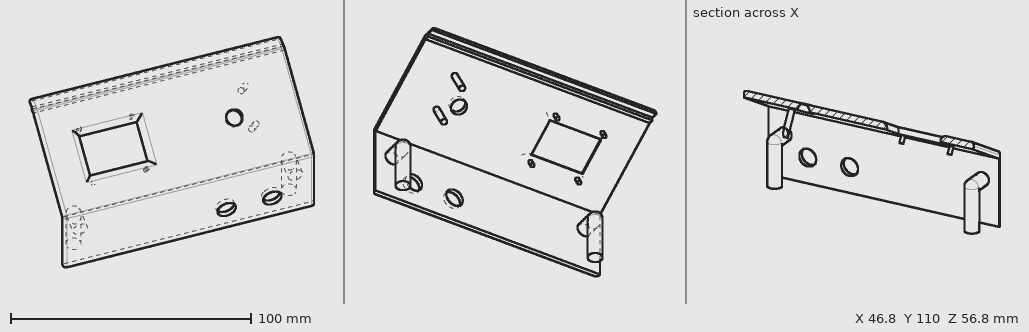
import math

import cadquery as cq

DEPTH = 46.77
LENGTH = 110.0
HEIGHT = 56.8

SLOPE_DEG = 30.0
LIP_WIDTH = 6.0
PANEL_THICKNESS = 3.0
WALL_THICKNESS = 2.3
EDGE_RADIUS = 1.5
STEP_WIDTH = 3.0
STEP_DEPTH = PANEL_THICKNESS / 2

SLOPE = math.radians(SLOPE_DEG)
SLOPE_RUN = DEPTH - LIP_WIDTH
SLOPE_DROP = SLOPE_RUN * math.tan(SLOPE)
WALL_TOP = HEIGHT - SLOPE_DROP
WALL_INNER_X = DEPTH - WALL_THICKNESS

FEATURE_OFFSET_Y = 26.3

SENSOR_HOLE_DIAMETER = 6.9

WINDOW_WIDTH = 17.0
WINDOW_LENGTH = 25.1
WINDOW_FLARE_RADIUS = 2.9

SMALL_PIN_DIAMETER = 1.7
SMALL_PIN_HEIGHT = 3.4
SMALL_PIN_SPACING = 23.0

LONG_PIN_DIAMETER = 2.6
LONG_PIN_HEIGHT = 12.0
LONG_PIN_X = (-12.2, 4.4)
LONG_PIN_Y = 35.0

WALL_HOLE_DIAMETER = 8.0
WALL_HOLE_SPACING = 20.0
WALL_HOLE_Z = 11.75

HOOK_DIAMETER = 6.3
HOOK_Y = 47.1
HOOK_X = 35.6
HOOK_Z = 20.15

OVERLAP = 0.5


def make_panel():
    """Bent panel with rounded outer edges and a stepped lip."""
    lip_inner_x = LIP_WIDTH - PANEL_THICKNESS * math.tan(SLOPE / 2)
    wall_inner_top = (
        WALL_TOP + WALL_THICKNESS * math.tan(SLOPE) - PANEL_THICKNESS / math.cos(SLOPE)
    )
    outline = [
        (0, HEIGHT),
        (LIP_WIDTH, HEIGHT),
        (DEPTH, WALL_TOP),
        (DEPTH, 0),
        (WALL_INNER_X, 0),
        (WALL_INNER_X, wall_inner_top),
        (lip_inner_x, HEIGHT - PANEL_THICKNESS),
        (0, HEIGHT - PANEL_THICKNESS),
    ]
    panel = cq.Workplane("XZ").polyline(outline).close().extrude(LENGTH / 2, both=True)

    for bend in ((LIP_WIDTH, 0, HEIGHT), (DEPTH, 0, WALL_TOP)):
        panel = panel.edges(cq.selectors.NearestToPointSelector(bend)).fillet(EDGE_RADIUS)

    for end in ("<Y", ">Y"):
        panel = panel.faces(">Z").edges(end).fillet(EDGE_RADIUS)

    step = cq.Workplane("XY").box(STEP_WIDTH, LENGTH, STEP_DEPTH, centered=(False, True, False))
    return panel.cut(step.translate((0, 0, HEIGHT - PANEL_THICKNESS)))


def slope_plane(depth=0.0):
    """Plane parallel to the sloping face, the given depth below its centre."""
    return cq.Workplane(
        cq.Plane(
            origin=(LIP_WIDTH + SLOPE_RUN / 2, 0, HEIGHT - SLOPE_DROP / 2),
            xDir=(math.cos(SLOPE), 0, -math.sin(SLOPE)),
            normal=(math.sin(SLOPE), 0, math.cos(SLOPE)),
        )
    ).workplane(offset=-depth)


def cut_sensor_hole(body):
    """Round hole square through the sloping face."""
    hole = (
        slope_plane(PANEL_THICKNESS + OVERLAP)
        .center(0, FEATURE_OFFSET_Y)
        .circle(SENSOR_HOLE_DIAMETER / 2)
        .extrude(PANEL_THICKNESS + 2 * OVERLAP)
    )
    return body.cut(hole)


def cut_window(body):
    """Rectangular window whose rim rounds over to the outer face."""
    window = (
        slope_plane(PANEL_THICKNESS + OVERLAP)
        .center(0, -FEATURE_OFFSET_Y)
        .rect(WINDOW_WIDTH, WINDOW_LENGTH)
        .extrude(PANEL_THICKNESS + 2 * OVERLAP)
    )
    body = body.cut(window)
    face_centre = slope_plane().plane.origin.toTuple()
    window_centre = slope_plane().center(0, -FEATURE_OFFSET_Y).plane.origin.toTuple()
    outer_face = body.faces(cq.selectors.NearestToPointSelector(face_centre))
    rim = outer_face.wires(cq.selectors.NearestToPointSelector(window_centre))
    return rim.fillet(WINDOW_FLARE_RADIUS)


def make_pins(points, diameter, height):
    """Pins hanging square to the underside of the sloping face."""
    return (
        slope_plane(PANEL_THICKNESS - OVERLAP)
        .pushPoints(points)
        .circle(diameter / 2)
        .extrude(-(height + OVERLAP))
    )


def cut_wall_holes(body):
    """Pair of round holes through the vertical wall."""
    for side in (-1, 1):
        hole_y = FEATURE_OFFSET_Y + side * WALL_HOLE_SPACING / 2
        hole = (
            cq.Workplane("YZ", origin=(WALL_INNER_X - OVERLAP, hole_y, WALL_HOLE_Z))
            .circle(WALL_HOLE_DIAMETER / 2)
            .extrude(WALL_THICKNESS + 2 * OVERLAP)
        )
        body = body.cut(hole)
    return body


def make_hook(hook_y):
    """Round arm out of the wall, turning down to the bottom at a ball corner."""
    radius = HOOK_DIAMETER / 2
    corner = (HOOK_X, hook_y, HOOK_Z)
    arm = (
        cq.Workplane("YZ", origin=corner)
        .circle(radius)
        .extrude(WALL_INNER_X + OVERLAP - HOOK_X)
    )
    leg = cq.Workplane("XY", origin=corner).circle(radius).extrude(-HOOK_Z)
    ball = cq.Workplane("XY", origin=corner).sphere(radius)
    return arm.union(leg).union(ball)


body = make_panel()
body = cut_sensor_hole(body)
body = cut_window(body)
body = cut_wall_holes(body)

half_spacing = SMALL_PIN_SPACING / 2
small_pin_points = [
    (x_side * half_spacing, y_side * half_spacing - FEATURE_OFFSET_Y)
    for x_side in (-1, 1)
    for y_side in (-1, 1)
]
long_pin_points = [(x, LONG_PIN_Y) for x in LONG_PIN_X]
body = body.union(make_pins(small_pin_points, SMALL_PIN_DIAMETER, SMALL_PIN_HEIGHT))
body = body.union(make_pins(long_pin_points, LONG_PIN_DIAMETER, LONG_PIN_HEIGHT))

for hook_y in (-HOOK_Y, HOOK_Y):
    body = body.union(make_hook(hook_y))

result = body